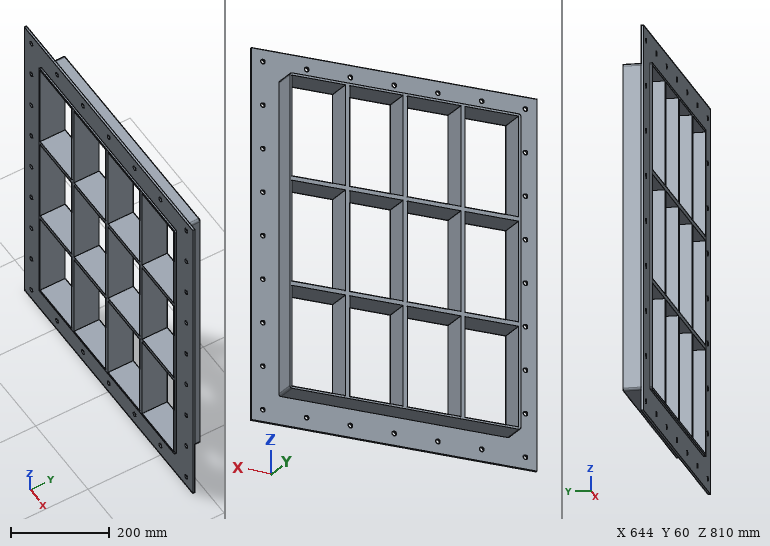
import cadquery as cq

flange_width = 644.0
flange_height = 810.0
flange_thickness = 5.0

frame_inset = 61.5
frame_depth = 60.0
frame_width = flange_width - 2 * frame_inset
frame_height = flange_height - 2 * frame_inset
frame_wall = 5.0
frame_corner_radius = frame_wall
front_projection = 4.0

columns = 4
rows = 3
bar_thickness = 10.0
inner_width = frame_width - 2 * frame_wall
inner_height = frame_height - 2 * frame_wall
cell_width = (inner_width - (columns - 1) * bar_thickness) / columns
cell_height = (inner_height - (rows - 1) * bar_thickness) / rows

hole_diameter = 10.0
hole_inset = 26.0
holes_across = 7
holes_up = 9
hole_span_x = flange_width - 2 * hole_inset
hole_span_z = flange_height - 2 * hole_inset
hole_pitch_x = hole_span_x / (holes_across - 1)
hole_pitch_z = hole_span_z / (holes_up - 1)


def block(width, depth, height, front_y):
    """Box centred on X and Z whose front face lies at front_y."""
    return cq.Workplane("XY").box(width, depth, height, centered=(True, False, True)).translate((0, front_y, 0))


def border_points():
    """Hole centres around the flange, each corner once."""
    points = []
    for i in range(holes_across):
        for j in range(holes_up):
            if i in (0, holes_across - 1) or j in (0, holes_up - 1):
                points.append((i * hole_pitch_x - hole_span_x / 2, j * hole_pitch_z - hole_span_z / 2))
    return points


def through_plane():
    """XZ sketch plane behind the part; extrusions run toward the front."""
    return cq.Workplane("XZ", origin=(0, frame_depth, 0))


flange = block(flange_width, flange_thickness, flange_height, front_projection)
frame = block(frame_width, frame_depth, frame_height, 0)
frame = frame.edges("|Y").fillet(frame_corner_radius)

holes = through_plane().pushPoints(border_points()).circle(hole_diameter / 2).extrude(frame_depth)
openings = (
    through_plane()
    .rarray(cell_width + bar_thickness, cell_height + bar_thickness, columns, rows)
    .rect(cell_width, cell_height)
    .extrude(frame_depth)
)

result = flange.union(frame).cut(holes).cut(openings)